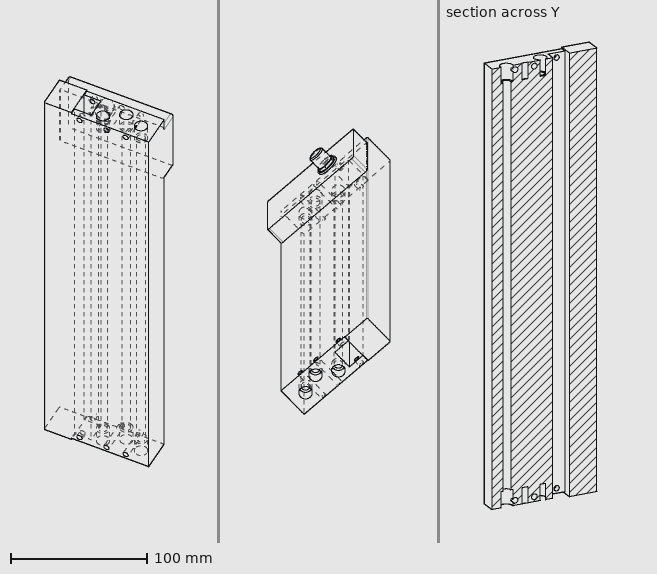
import cadquery as cq

body_width = 86.0
body_depth = 25.3
overall_depth = 53.7
body_length = 351.0
rail_width = 22.5
end_step = 1.23
edge_radius = 0.7

channel_width = 13.7
channel_depth = 15.8
channel_front = 5.3

port_centers = [(44.2, 8.5), (59.0, 17.2), (73.7, 12.0)]
port_diameter = 10.0
port_depth = 14.0
passage_diameter = 6.3

pin_hole_xs = [29.0, 51.2, 67.0]
pin_hole_diameter = 4.2
pin_hole_inset = 5.3

box_depth = 14.7
box_length = 55.0
box_top_inset = 10.0
box_corner_radius = 2.0

connector_x = 25.5
connector_top_inset = 40.5
washer_diameter = 17.2
washer_thickness = 1.5
nut_across_corners = 15.5
nut_thickness = 2.0
plug_diameter = 12.3
plug_length = overall_depth - body_depth - box_depth - washer_thickness - nut_thickness
plug_chamfer = 1.0


def make_block():
    """Full-length block with the ends lowered beside the rail."""
    block = (
        cq.Workplane("XY")
        .box(body_width, body_depth, body_length, centered=False)
        .edges("|Z and <X")
        .fillet(edge_radius)
    )
    step_width = body_width - rail_width
    for step_bottom in (0, body_length - end_step):
        step = (
            cq.Workplane("XY")
            .box(step_width, body_depth, end_step, centered=False)
            .translate((rail_width, 0, step_bottom))
        )
        block = block.cut(step)
    return block


def make_channel():
    return (
        cq.Workplane("XY")
        .box(channel_width, channel_depth, body_length, centered=False)
        .translate((rail_width, channel_front, 0))
    )


def make_ports():
    """Narrow passages through the length, widened into a port at each end."""
    ports = (
        cq.Workplane("XY")
        .pushPoints(port_centers)
        .circle(passage_diameter / 2)
        .extrude(body_length)
    )
    for port_bottom in (0, body_length - port_depth):
        port = (
            cq.Workplane("XY", origin=(0, 0, port_bottom))
            .pushPoints(port_centers)
            .circle(port_diameter / 2)
            .extrude(port_depth)
        )
        ports = ports.union(port)
    return ports


def make_pin_holes():
    centers = [
        (x, z)
        for x in pin_hole_xs
        for z in (pin_hole_inset, body_length - pin_hole_inset)
    ]
    return (
        cq.Workplane("XZ")
        .pushPoints(centers)
        .circle(pin_hole_diameter / 2)
        .extrude(-body_depth)
    )


def make_box():
    box_bottom = body_length - box_top_inset - box_length
    return (
        cq.Workplane("XY")
        .box(body_width, box_depth, box_length, centered=False)
        .edges("|Y")
        .fillet(box_corner_radius)
        .translate((0, body_depth, box_bottom))
    )


def make_connector():
    """Washer, hex nut and round plug stacked outward along +Y."""
    box_back = body_depth + box_depth
    connector_z = body_length - connector_top_inset
    back_plane = cq.Workplane("XZ", origin=(connector_x, box_back, connector_z))
    washer = back_plane.circle(washer_diameter / 2).extrude(-washer_thickness)
    nut = (
        back_plane.workplane(offset=-washer_thickness)
        .transformed(rotate=(0, 0, 90))
        .polygon(6, nut_across_corners)
        .extrude(-nut_thickness)
    )
    plug = (
        back_plane.workplane(offset=-(washer_thickness + nut_thickness))
        .circle(plug_diameter / 2)
        .extrude(-plug_length)
        .faces(">Y")
        .chamfer(plug_chamfer)
    )
    return washer.union(nut).union(plug)


body = make_block().cut(make_channel()).cut(make_ports()).cut(make_pin_holes())
result = body.union(make_box()).union(make_connector())